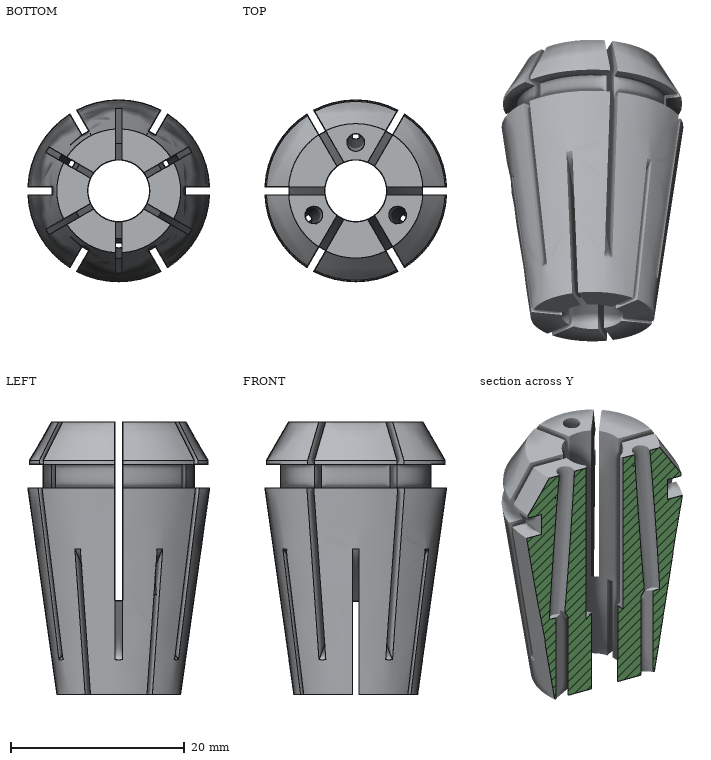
import cadquery as cq
import math


length = 31.5
shoulder_z = 23.88
neck_top_z = 26.62
lip_height = 0.45
shoulder_radius = 10.505
neck_radius = 8.73
head_radius = 10.33
body_taper = math.radians(8)
head_taper = math.radians(30)
bore_radius = 3.55

slots_per_end = 6
slot_pitch = 360 / slots_per_end
slot_overrun = 1.58
slot_inner_radius = 3.3

head_slot_width = 0.9
head_blade_radius = 25.0
head_slot_outer_z = 4.03
head_slot_root = (slot_inner_radius, 11.5)
tail_slot_width = 0.72
tail_blade_radius = 20.0
tail_slot_outer_z = 16.85
tail_slot_root = (5.48, 10.77)

hole_count = 3
hole_radius = 1.0
hole_circle_radius = 5.58
hole_depth = 20.0
hole_tilt = 4.2
hole_start_angle = 90.0


def taper_radius(z):
    """Radius of the long taper at height z."""
    return shoulder_radius - (shoulder_z - z) * math.tan(body_taper)


def turned_body():
    lip_top_z = neck_top_z + lip_height
    face_radius = head_radius - (length - lip_top_z) * math.tan(head_taper)
    return (
        cq.Workplane("XZ")
        .moveTo(bore_radius, 0)
        .lineTo(taper_radius(0), 0)
        .lineTo(shoulder_radius, shoulder_z)
        .lineTo(neck_radius, shoulder_z)
        .lineTo(neck_radius, neck_top_z)
        .lineTo(head_radius, neck_top_z)
        .lineTo(head_radius, lip_top_z)
        .lineTo(face_radius, length)
        .lineTo(bore_radius, length)
        .close()
        .revolve(360, (0, 0), (0, 1))
    )


def floor_midpoint(outer, root, blade_radius, bulge):
    """Middle of the blade arc, bowed toward the axis and up (bulge +1) or down (bulge -1)."""
    chord_r = outer[0] - root[0]
    chord_z = outer[1] - root[1]
    chord = math.hypot(chord_r, chord_z)
    sagitta = blade_radius - math.sqrt(blade_radius**2 - (chord / 2) ** 2)
    return (
        (outer[0] + root[0]) / 2 - sagitta * abs(chord_z) / chord,
        (outer[1] + root[1]) / 2 + bulge * sagitta * chord_r / chord,
    )


def slot_cutter(width, blade_radius, outer_z, root, open_z, bulge):
    """Radial slot along +X, open at open_z, with a blade-shaped floor."""
    outer = (taper_radius(outer_z), outer_z)
    reach = shoulder_radius + slot_overrun
    profile = cq.Workplane("XZ").moveTo(slot_inner_radius, open_z)
    if root[0] > slot_inner_radius:
        profile = profile.lineTo(slot_inner_radius, root[1])
    return (
        profile.lineTo(*root)
        .threePointArc(floor_midpoint(outer, root, blade_radius, bulge), outer)
        .lineTo(reach, outer_z)
        .lineTo(reach, open_z)
        .close()
        .extrude(width / 2, both=True)
    )


def hole_cutter():
    """Hole on the +X side of the axis, tilted outward toward its flat bottom."""
    tilt = math.radians(hole_tilt)
    entry_overrun = 0.3
    cutter_length = hole_depth / math.cos(tilt) + entry_overrun
    return (
        cq.Workplane("XY")
        .circle(hole_radius)
        .extrude(-cutter_length)
        .translate((0, 0, entry_overrun))
        .rotate((0, 0, 0), (0, 1, 0), -hole_tilt)
        .translate((hole_circle_radius, 0, length))
    )


def about_axis(shape, angle):
    return shape.rotate((0, 0, 0), (0, 0, 1), angle)


result = turned_body()

head_slot = slot_cutter(
    head_slot_width,
    head_blade_radius,
    head_slot_outer_z,
    head_slot_root,
    open_z=length + slot_overrun,
    bulge=-1,
)
tail_slot = slot_cutter(
    tail_slot_width,
    tail_blade_radius,
    tail_slot_outer_z,
    tail_slot_root,
    open_z=-slot_overrun,
    bulge=1,
)
for index in range(slots_per_end):
    result = result.cut(about_axis(head_slot, index * slot_pitch))
    result = result.cut(about_axis(tail_slot, (index + 0.5) * slot_pitch))

hole = hole_cutter()
for index in range(hole_count):
    result = result.cut(about_axis(hole, hole_start_angle + index * 360 / hole_count))